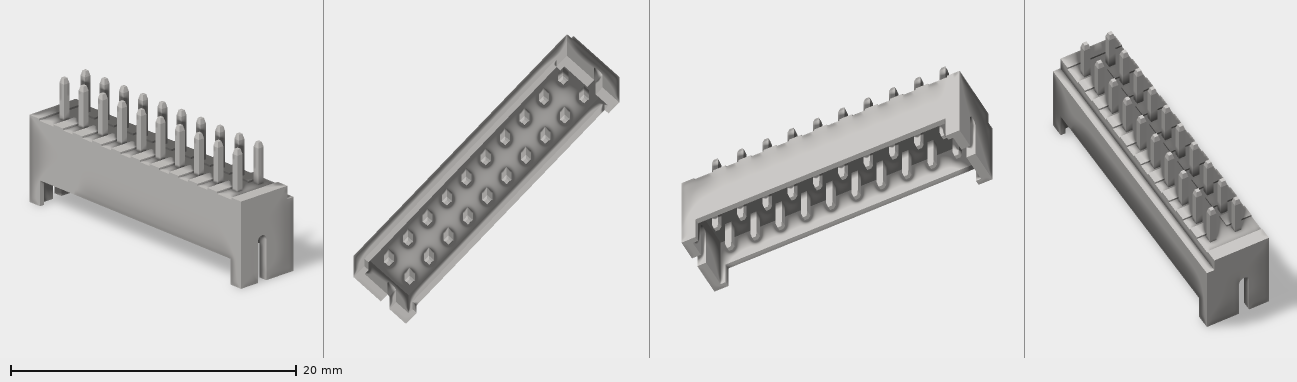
import cadquery as cq


pin_count = 10
pitch = 2.0
row_offsets = (-pitch / 2, pitch / 2)
pin_width = 0.5
pin_tip_width = 0.3
pin_tip_length = 0.4
pin_bottom = 2.0
pin_top = 9.6

end_margin = 2.0
row_length = (pin_count - 1) * pitch
length = row_length + 2 * end_margin
width = 5.0
height = 6.6

ledge_width = 0.6
ledge_drop = 1.0

recess_depth = 0.15
recess_end_wall = 1.0
pad_length = 1.0
centre_channel_width = 1.0

side_wall = 0.4
end_wall = 0.7
leg_length = 1.1
leg_height = 1.95
slot_width = 0.8
slot_y = -0.5
slot_top = 3.5
base_thickness = 2.0

pin_positions = [i * pitch - row_length / 2 for i in range(pin_count)]
pad_positions = [x + pitch / 2 for x in pin_positions[:-1]]
front_y = -width / 2
rear_y = width / 2
ledge_y = rear_y - ledge_width
recess_floor = height - recess_depth
cavity_height = height - base_thickness


def block(x_range, y_range, z_range):
    """Axis-aligned box spanning the given (low, high) ranges."""
    ranges = (x_range, y_range, z_range)
    sizes = [high - low for low, high in ranges]
    corner = tuple(low for low, high in ranges)
    return cq.Workplane("XY").box(*sizes, centered=False).translate(corner)


def symmetric(size):
    """Range of the given size centred on zero."""
    return (-size / 2, size / 2)


def make_housing():
    """Full-length body with a ledge along the top of its rear side."""
    body = block(symmetric(length), (front_y, rear_y), (0, height))
    ledge_cut = block(symmetric(length), (ledge_y, rear_y), (height - ledge_drop, height))
    return body.cut(ledge_cut)


def make_top_recess():
    """Material removed from the top face, leaving pads between neighbouring pins."""
    z_range = (recess_floor, height)
    recess = block(symmetric(length - 2 * recess_end_wall), (front_y, ledge_y), z_range)
    for x in pad_positions:
        pad_x = (x - pad_length / 2, x + pad_length / 2)
        recess = recess.cut(block(pad_x, (front_y, -centre_channel_width / 2), z_range))
        recess = recess.cut(block(pad_x, (centre_channel_width / 2, ledge_y), z_range))
    return recess


def make_cavity():
    """Mating cavity, plus the relief that shortens the side walls between the end legs."""
    cavity_y = (front_y + side_wall, rear_y - side_wall)
    cavity = block(symmetric(length - 2 * end_wall), cavity_y, (0, cavity_height))
    relief = block(symmetric(length - 2 * leg_length), (front_y, rear_y), (0, leg_height))
    return cavity.union(relief)


def make_end_slot():
    """Round-topped keying slot running through both end walls."""
    radius = slot_width / 2
    spring_height = slot_top - radius
    return (
        cq.Workplane("YZ")
        .moveTo(slot_y - radius, 0)
        .lineTo(slot_y - radius, spring_height)
        .threePointArc((slot_y, slot_top), (slot_y + radius, spring_height))
        .lineTo(slot_y + radius, 0)
        .close()
        .extrude(length / 2, both=True)
    )


def make_pin():
    """Square pin with a tapered tip at each end."""
    shank_bottom = pin_bottom + pin_tip_length
    shank_top = pin_top - pin_tip_length
    shank = block(symmetric(pin_width), symmetric(pin_width), (shank_bottom, shank_top))
    upper_tip = (
        cq.Workplane("XY", origin=(0, 0, shank_top))
        .rect(pin_width, pin_width)
        .workplane(offset=pin_tip_length)
        .rect(pin_tip_width, pin_tip_width)
        .loft()
    )
    lower_tip = (
        cq.Workplane("XY", origin=(0, 0, pin_bottom))
        .rect(pin_tip_width, pin_tip_width)
        .workplane(offset=pin_tip_length)
        .rect(pin_width, pin_width)
        .loft()
    )
    return shank.union(upper_tip).union(lower_tip)


result = make_housing().cut(make_top_recess()).cut(make_cavity()).cut(make_end_slot())

pin = make_pin()
for pin_x in pin_positions:
    for pin_y in row_offsets:
        result = result.union(pin.translate((pin_x, pin_y, 0)))